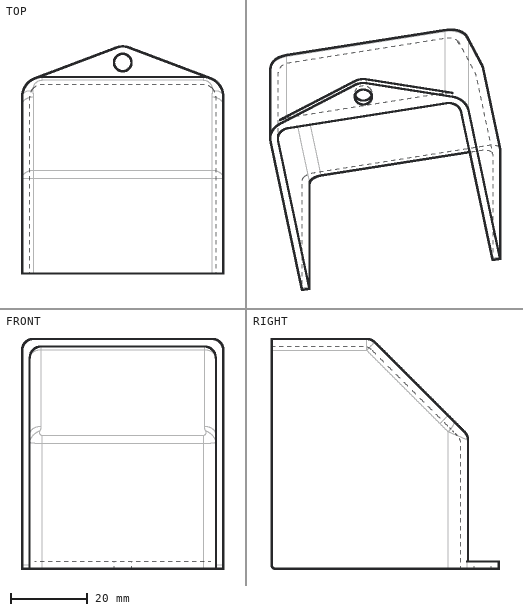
import cadquery as cq
import math

WIDTH = 52.5
DEPTH = 51.25
HEIGHT = 60.0
WALL = 2.0
TOP_FLAT_DEPTH = 26.0
SLOPE_RUN = DEPTH - TOP_FLAT_DEPTH
BACK_CORNER_RADIUS = 5.25
ROOF_RADIUS = 3.0
FOOT_RADIUS = 1.0

TAB_THICKNESS = WALL
TAB_LENGTH = 59.24
HOLE_DIAMETER = 4.5
TIP_RADIUS = 4.25
HOLE_Y = TAB_LENGTH - TIP_RADIUS


def side_profile(inset):
    """Side outline, with the roof, slope and back wall moved inward by inset."""
    slope_shift = inset * (2 ** 0.5 - 1)
    back = DEPTH - inset
    top = HEIGHT - inset
    knee_y = TOP_FLAT_DEPTH - slope_shift
    knee_z = HEIGHT - SLOPE_RUN - slope_shift
    return [(0, 0), (back, 0), (back, knee_z), (knee_y, top), (0, top)]


def rounded_block(inset):
    """Solid with the sloped side outline and rounded back and roof edges."""
    half_width = WIDTH / 2 - inset
    block = (
        cq.Workplane("YZ")
        .polyline(side_profile(inset))
        .close()
        .extrude(half_width, both=True)
    )
    block = block.edges("|Z and >Y").fillet(BACK_CORNER_RADIUS - inset)
    roof_edges = block.faces(">Z").edges("not <Y")
    slope_edges = block.faces(">(0, 1, 1)").edges("not >Z")
    return roof_edges.add(slope_edges).fillet(ROOF_RADIUS)


def hood():
    """Hollow shell with the lower front corners of the side walls rounded."""
    shell = rounded_block(0).cut(rounded_block(WALL))
    return shell.edges("|X and <Y and <Z").fillet(FOOT_RADIUS)


def tab():
    """Plate whose straight edges run tangent from the back corners to the tip around the hole."""
    corner_x = WIDTH / 2 - BACK_CORNER_RADIUS
    corner_y = DEPTH - BACK_CORNER_RADIUS
    rise = HOLE_Y - corner_y
    spacing = math.hypot(corner_x, rise)
    normal_angle = math.pi / 2 - math.atan2(rise, corner_x)
    normal_angle += math.asin((BACK_CORNER_RADIUS - TIP_RADIUS) / spacing)
    normal_x = math.cos(normal_angle)
    normal_y = math.sin(normal_angle)

    corner_point_x = corner_x + BACK_CORNER_RADIUS * normal_x
    corner_point_y = corner_y + BACK_CORNER_RADIUS * normal_y
    tip_point_x = TIP_RADIUS * normal_x
    tip_point_y = HOLE_Y + TIP_RADIUS * normal_y
    inner_back_y = DEPTH - WALL
    plate = (
        cq.Workplane("XY")
        .moveTo(-corner_x, inner_back_y)
        .lineTo(corner_x, inner_back_y)
        .lineTo(corner_point_x, corner_point_y)
        .lineTo(tip_point_x, tip_point_y)
        .threePointArc((0, TAB_LENGTH), (-tip_point_x, tip_point_y))
        .lineTo(-corner_point_x, corner_point_y)
        .close()
        .extrude(TAB_THICKNESS)
    )
    hole = cq.Workplane("XY").center(0, HOLE_Y).circle(HOLE_DIAMETER / 2).extrude(TAB_THICKNESS)
    return plate.cut(hole)


result = hood().union(tab())